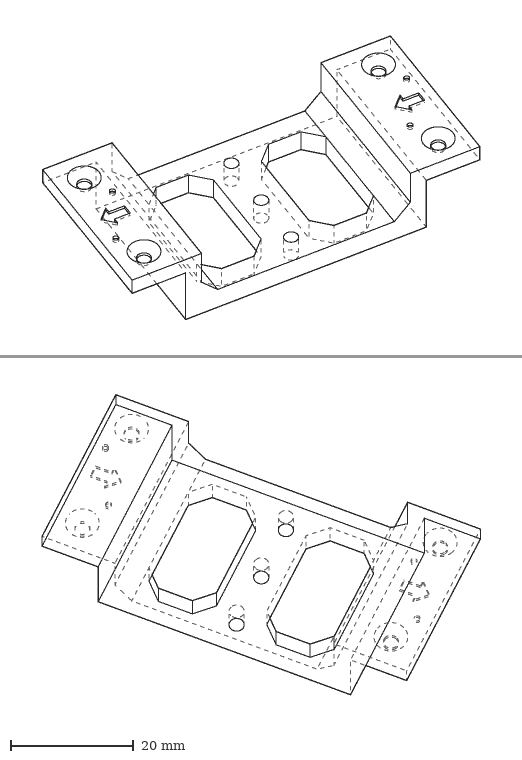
import cadquery as cq

length = 65.0
width = 30.0
height = 13.5

flange_thickness = 3.0
wall_thickness = 3.0
floor_thickness = 4.0
base_length = 45.0
inner_chamfer = 3.0

window_width = 22.0
window_inner_edge = 4.5
window_outer_edge = base_length / 2 - wall_thickness - inner_chamfer
window_chamfer = 3.0

hole_spacing = 10.0
hole_diameter = 2.5
screw_offset = 27.5
screw_head_diameter = 5.5
countersink_depth = 1.5
screw_hole_depth = 2.0

mark_depth = 0.5
pin_diameter = 1.0
pin_spacing_x = 5.0
mark_reach = 2.5
arrow_shaft_width = 1.95
arrow_head_width = 4.0
arrow_head_length = 2.0


def make_bracket():
    """Extrude the hat-shaped section across the full width."""
    end = length / 2
    outer_wall = base_length / 2
    inner_wall = outer_wall - wall_thickness
    half_section = [
        (0, 0),
        (outer_wall, 0),
        (outer_wall, height - flange_thickness),
        (end, height - flange_thickness),
        (end, height),
        (inner_wall, height),
        (inner_wall, floor_thickness + inner_chamfer),
        (inner_wall - inner_chamfer, floor_thickness),
        (0, floor_thickness),
    ]
    half = cq.Workplane("YZ").polyline(half_section).close().extrude(width / 2, both=True)
    return half.union(half.mirror("XZ")).clean()


def make_window(side):
    """Octagonal cutter through the floor, on the +Y or -Y side."""
    window_length = window_outer_edge - window_inner_edge
    center_y = side * (window_inner_edge + window_outer_edge) / 2
    return (
        cq.Workplane("XY")
        .center(0, center_y)
        .rect(window_width, window_length)
        .extrude(floor_thickness)
        .edges("|Z")
        .chamfer(window_chamfer)
    )


def make_floor_holes():
    """Row of three through holes across the middle of the floor."""
    centers = [(-hole_spacing, 0), (0, 0), (hole_spacing, 0)]
    return cq.Workplane("XY").pushPoints(centers).circle(hole_diameter / 2).extrude(floor_thickness)


def make_screw_hole(x, y):
    """Blind countersunk hole sunk from the flange top."""
    head_radius = screw_head_diameter / 2
    hole_radius = hole_diameter / 2
    profile = [
        (0, 0),
        (head_radius, 0),
        (hole_radius, -countersink_depth),
        (hole_radius, -screw_hole_depth),
        (0, -screw_hole_depth),
    ]
    cutter = cq.Workplane("XZ").polyline(profile).close().revolve(360, (0, 0), (0, 1))
    return cutter.translate((x, y, height))


def make_marks(y):
    """Arrow pointing to -Y with a small pin hole on either side of it."""
    shaft = arrow_shaft_width / 2
    head = arrow_head_width / 2
    head_base = -mark_reach + arrow_head_length
    arrow_points = [
        (-shaft, mark_reach),
        (shaft, mark_reach),
        (shaft, head_base),
        (head, head_base),
        (0, -mark_reach),
        (-head, head_base),
        (-shaft, head_base),
    ]
    pin_centers = [(-pin_spacing_x, mark_reach), (pin_spacing_x, -mark_reach)]
    top = cq.Workplane("XY", origin=(0, y, height))
    arrow = top.polyline(arrow_points).close().extrude(-mark_depth)
    pins = top.pushPoints(pin_centers).circle(pin_diameter / 2).extrude(-mark_depth)
    return arrow.union(pins)


result = make_bracket().cut(make_floor_holes())
for side in (-1, 1):
    result = result.cut(make_window(side))
    result = result.cut(make_marks(side * screw_offset))
    for hole_x in (-hole_spacing, hole_spacing):
        result = result.cut(make_screw_hole(hole_x, side * screw_offset))